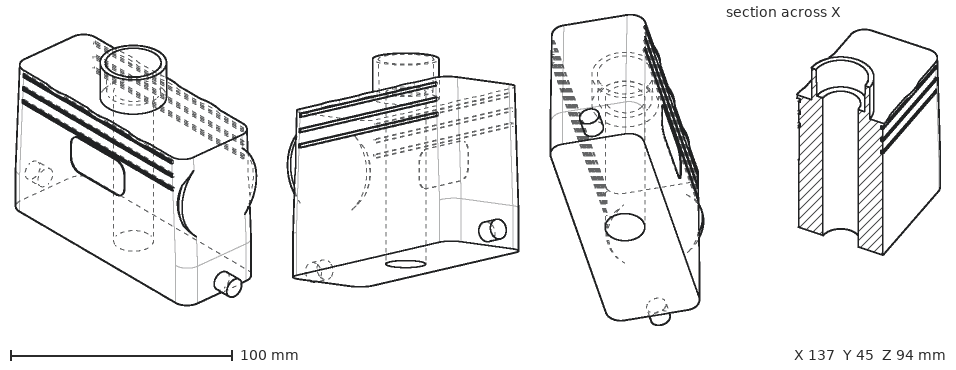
import cadquery as cq
BASE_LENGTH = 119.9
TOP_LENGTH = 114.3
BODY_WIDTH = 43.3
BODY_HEIGHT = 75.9
STRAIGHT_HEIGHT = 19.9
CORNER_RADIUS = 7.0

TOTAL_HEIGHT = 94.0
BOSS_DIAMETER = 30.0
SOCKET_TOP_DIAMETER = 25.1
SOCKET_FLOOR_DIAMETER = 24.2
SOCKET_DEPTH = 15.0
HOLE_DIAMETER = 18.0

PIN_DIAMETER = 9.0
PIN_HEIGHT = 6.2
OVERALL_LENGTH = 137

GROOVE_WIDTH = 1.6
GROOVE_DEPTH = 1.0
GROOVE_PITCH = 7.0
GROOVE_COUNT = 3
LIP_HEIGHT = 2.0
SWELL_LENGTH = 13.4
SWELL_RISE = 0.8
SWELL_PITCH = 27.8

PLATE_LENGTH = 36.2
PLATE_HEIGHT = 18.2
PLATE_CENTER_HEIGHT = 48
PLATE_CORNER_RADIUS = 5.5
PLATE_DEPTH = 0.4

DISC_DIAMETER = 45.0
DISC_RIM = 2.3
DISC_BACK_DIAMETER = 40.5
DISC_BACK_DEPTH = 3.8
DISC_CENTER_HEIGHT = 52

HALF_WIDTH = BODY_WIDTH / 2
WALL_SLOPE = (BASE_LENGTH - TOP_LENGTH) / 2 / (BODY_HEIGHT - STRAIGHT_HEIGHT)


def half_length(z):
    """Distance from the middle of the body to the leaning end wall at height z."""
    return BASE_LENGTH / 2 - WALL_SLOPE * (z - STRAIGHT_HEIGHT)


def make_body():
    profile = [
        (-BASE_LENGTH / 2, 0),
        (BASE_LENGTH / 2, 0),
        (BASE_LENGTH / 2, STRAIGHT_HEIGHT),
        (TOP_LENGTH / 2, BODY_HEIGHT),
        (-TOP_LENGTH / 2, BODY_HEIGHT),
        (-BASE_LENGTH / 2, STRAIGHT_HEIGHT),
    ]
    block = cq.Workplane("XZ").polyline(profile).close().extrude(HALF_WIDTH, both=True)
    upright_edges = block.faces("<Y or >Y").edges("not #Z")
    return upright_edges.fillet(CORNER_RADIUS)


def make_groove(level):
    """Groove on the front wall, ending at the corner rounds; level is its upper edge."""
    top_half = half_length(level) - CORNER_RADIUS
    bottom_half = half_length(level - GROOVE_WIDTH) - CORNER_RADIUS
    outline = [
        (-bottom_half, level - GROOVE_WIDTH),
        (bottom_half, level - GROOVE_WIDTH),
        (top_half, level),
        (-top_half, level),
    ]
    front_wall = cq.Workplane("XZ", origin=(0, -HALF_WIDTH, 0))
    return front_wall.polyline(outline).close().extrude(-GROOVE_DEPTH)


def make_swell(x):
    """Shallow arc-shaped swells, one on each side wall, joined across the body."""
    half_swell = SWELL_LENGTH / 2
    crest = HALF_WIDTH + SWELL_RISE
    return (
        cq.Workplane("XY", origin=(x, 0, BODY_HEIGHT - LIP_HEIGHT))
        .moveTo(-half_swell, -HALF_WIDTH)
        .threePointArc((0, -crest), (half_swell, -HALF_WIDTH))
        .lineTo(half_swell, HALF_WIDTH)
        .threePointArc((0, crest), (-half_swell, HALF_WIDTH))
        .close()
        .extrude(LIP_HEIGHT)
    )


def make_nameplate():
    plate = cq.Workplane("XZ", origin=(0, -HALF_WIDTH, PLATE_CENTER_HEIGHT))
    plate = plate.rect(PLATE_LENGTH, PLATE_HEIGHT).extrude(-PLATE_DEPTH)
    return plate.edges("|Y").fillet(PLATE_CORNER_RADIUS)


def make_disc():
    """Disc whose outer face lies in the plane of the leaning +X end wall."""
    rim_radius = DISC_DIAMETER / 2
    back_depth = DISC_RIM + DISC_BACK_DEPTH
    half_section = [
        (0, 0),
        (rim_radius, 0),
        (rim_radius, -DISC_RIM),
        (DISC_BACK_DIAMETER / 2, -back_depth),
        (0, -back_depth),
    ]
    wall_plane = cq.Plane(
        origin=(half_length(DISC_CENTER_HEIGHT), 0, DISC_CENTER_HEIGHT),
        xDir=(0, 1, 0),
        normal=(1, 0, WALL_SLOPE),
    )
    disc = cq.Workplane("XZ").polyline(half_section).close().revolve(360, (0, 0, 0), (0, 1, 0))
    return cq.Workplane(disc.val().moved(cq.Location(wall_plane)))


def make_socket():
    """Tapered socket in the boss, continued by the through hole."""
    floor = TOTAL_HEIGHT - SOCKET_DEPTH
    half_section = [
        (0, 0),
        (HOLE_DIAMETER / 2, 0),
        (HOLE_DIAMETER / 2, floor),
        (SOCKET_FLOOR_DIAMETER / 2, floor),
        (SOCKET_TOP_DIAMETER / 2, TOTAL_HEIGHT),
        (0, TOTAL_HEIGHT),
    ]
    return cq.Workplane("XZ").polyline(half_section).close().revolve(360, (0, 0, 0), (0, 1, 0))


part = make_body()

for groove in range(GROOVE_COUNT):
    groove_cut = make_groove(BODY_HEIGHT - LIP_HEIGHT - groove * GROOVE_PITCH)
    part = part.cut(groove_cut).cut(groove_cut.mirror("XZ"))

for swell_x in (-SWELL_PITCH, 0, SWELL_PITCH):
    part = part.union(make_swell(swell_x))

part = part.cut(make_nameplate()).union(make_disc())

pins = cq.Workplane("YZ").center(0, PIN_HEIGHT).circle(PIN_DIAMETER / 2)
part = part.union(pins.extrude(OVERALL_LENGTH / 2, both=True))

boss = cq.Workplane("XY").workplane(offset=BODY_HEIGHT).circle(BOSS_DIAMETER / 2)
part = part.union(boss.extrude(TOTAL_HEIGHT - BODY_HEIGHT))

result = part.cut(make_socket())